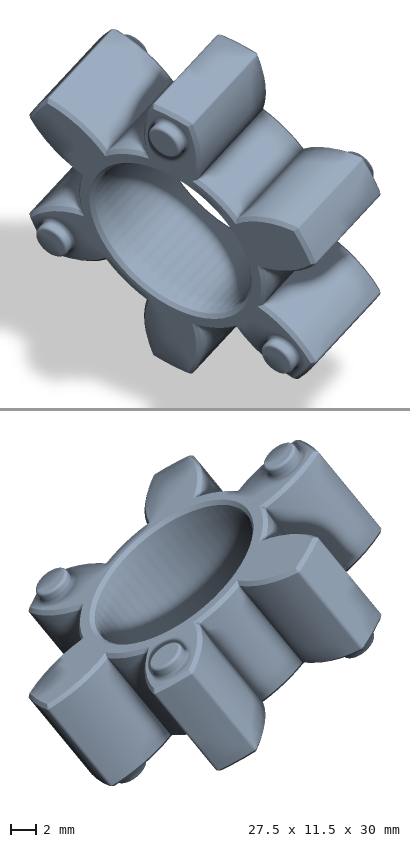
import cadquery as cq
import math

TIP_RADIUS = 15.0
RING_RADIUS = 9.0
BORE_RADIUS = 7.5
THICKNESS = 9.5
EDGE_CHAMFER = 0.3

LEG_COUNT = 6
LEG_PITCH = 360 / LEG_COUNT
BELLY_HALF_WIDTH = 2.75
BELLY_HEIGHT = 10.95
FLANK_RADIUS = 9.0
TIP_CORNER_FILLET = 0.33

PEG_RADIUS = 1.5
PEG_HEIGHT = 1.0
PEG_PITCH_RADIUS = 12.5
PEG_FOOT_FILLET = 0.27
PEG_TOP_FILLET = 0.25
PEG_EMBED = 0.3


def disc(radius, center_x=0, center_z=0):
    """Disc of the full thickness, centred on the mid-plane."""
    return (
        cq.Workplane("XZ")
        .center(center_x, center_z)
        .circle(radius)
        .extrude(THICKNESS / 2, both=True)
    )


def chamfer_rims(solid):
    """Bevel every edge of the two flat faces."""
    return solid.faces("<Y or >Y").edges().chamfer(EDGE_CHAMFER)


def make_leg():
    """One leg pointing along +Z, with its root sunk into the ring wall."""
    flank_offset = FLANK_RADIUS - BELLY_HALF_WIDTH
    left_flank = disc(FLANK_RADIUS, flank_offset, BELLY_HEIGHT)
    right_flank = disc(FLANK_RADIUS, -flank_offset, BELLY_HEIGHT)
    leg = left_flank.intersect(right_flank).intersect(disc(TIP_RADIUS))
    leg = leg.edges("|Y").edges(">Z").fillet(TIP_CORNER_FILLET)
    ring_wall_middle = (BORE_RADIUS + RING_RADIUS) / 2
    return chamfer_rims(leg).cut(disc(ring_wall_middle))


def make_peg():
    """One peg on the -Y face of the +Z leg: flared foot, straight shank, rounded top."""
    foot_radius = PEG_RADIUS + PEG_FOOT_FILLET
    diagonal = math.sqrt(0.5)
    foot_mid = (
        foot_radius - PEG_FOOT_FILLET * diagonal,
        PEG_FOOT_FILLET * (1 - diagonal),
    )
    top_mid = (
        PEG_RADIUS - PEG_TOP_FILLET * (1 - diagonal),
        PEG_HEIGHT - PEG_TOP_FILLET * (1 - diagonal),
    )
    return (
        cq.Workplane("XY")
        .moveTo(0, -PEG_EMBED)
        .lineTo(foot_radius, -PEG_EMBED)
        .lineTo(foot_radius, 0)
        .threePointArc(foot_mid, (PEG_RADIUS, PEG_FOOT_FILLET))
        .lineTo(PEG_RADIUS, PEG_HEIGHT - PEG_TOP_FILLET)
        .threePointArc(top_mid, (PEG_RADIUS - PEG_TOP_FILLET, PEG_HEIGHT))
        .lineTo(0, PEG_HEIGHT)
        .close()
        .revolve(360, (0, 0, 0), (0, 1, 0))
        .rotate((0, 0, 0), (1, 0, 0), 180)
        .translate((0, -THICKNESS / 2, PEG_PITCH_RADIUS))
    )


def place_on_leg(shape, index):
    return shape.rotate((0, 0, 0), (0, 1, 0), index * LEG_PITCH)


body = chamfer_rims(disc(RING_RADIUS).cut(disc(BORE_RADIUS)))
leg = make_leg()
for index in range(LEG_COUNT):
    body = body.union(place_on_leg(leg, index))

front_peg = make_peg()
back_peg = front_peg.mirror("XZ")
result = body
for index in range(LEG_COUNT):
    peg = front_peg if index % 2 == 0 else back_peg
    result = result.union(place_on_leg(peg, index))